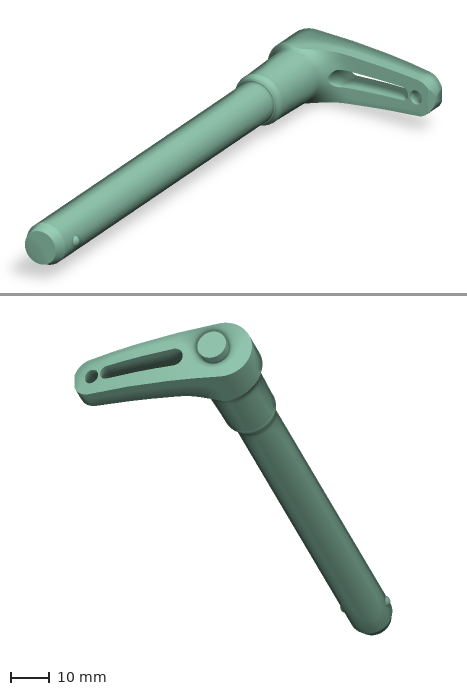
import cadquery as cq
import math


total_length = 148.6
shaft_diameter = 11.5
shaft_radius = shaft_diameter / 2
tip_radius = 4.6
tip_chamfer_length = 3.0
button_radius = 3.9

ball_radius = 1.5
ball_y = 8.3
ball_reach = 6.7

collar_bottom_y = 111.5
collar_lip_y = 112.0
collar_shoulder_y = 114.5
collar_top_y = 130.3
collar_lip_radius = 6.1
collar_shoulder_radius = 7.0
collar_top_radius = 7.5

flare_radius = 6.4
flare_outer_radius = collar_top_radius + flare_radius
flare_top_y = collar_top_y + flare_radius

handle_length = 49.5
head_width = 15.9
head_radius = head_width / 2
head_x = -1.8
head_left_x = head_x - head_radius
tip_round_radius = 5.0
handle_end_x = head_left_x + handle_length
tip_round_x = handle_end_x - tip_round_radius

crown_x = 3.0
crown_y = 145.5
crown_radius = 127.8
end_top_x = 39.4
end_corner_y = 136.1
toe_x = 38.5
toe_y = 134.5
underside_mid_x = 25.9
underside_mid_y = 136.1

slot_start_x = 8.8
slot_end_x = 32.0
slot_start_width = 4.9
slot_start_radius = slot_start_width / 2
slot_end_width = 3.7
slot_end_radius = slot_end_width / 2
eye_x = 34.5
eye_radius = 2.0


def tapered_prism(start_x, start_radius, end_x, end_radius):
    """Two circles joined by their common tangents, extruded along the whole pin."""
    tangent_angle = math.asin((start_radius - end_radius) / (end_x - start_x))
    sine = math.sin(tangent_angle)
    cosine = math.cos(tangent_angle)
    start_tangent_x = start_x + start_radius * sine
    start_tangent_z = start_radius * cosine
    end_tangent_x = end_x + end_radius * sine
    end_tangent_z = end_radius * cosine
    return (
        cq.Workplane("XZ")
        .moveTo(start_tangent_x, start_tangent_z)
        .lineTo(end_tangent_x, end_tangent_z)
        .threePointArc((end_x + end_radius, 0), (end_tangent_x, -end_tangent_z))
        .lineTo(start_tangent_x, -start_tangent_z)
        .threePointArc((start_x - start_radius, 0), (start_tangent_x, start_tangent_z))
        .close()
        .extrude(-total_length)
    )


def revolve_about_pin(profile):
    return profile.close().revolve(360, (0, 0, 0), (0, 1, 0))


def crown_height(x):
    """Y of the arched handle top at a given X."""
    return crown_y - crown_radius + math.sqrt(crown_radius**2 - (x - crown_x) ** 2)


def make_pin():
    shaft = revolve_about_pin(
        cq.Workplane("XY")
        .lineTo(tip_radius, 0)
        .lineTo(shaft_radius, tip_chamfer_length)
        .lineTo(shaft_radius, flare_top_y)
        .lineTo(button_radius, flare_top_y)
        .lineTo(button_radius, total_length)
        .lineTo(0, total_length)
    )
    ball_x = ball_reach - ball_radius
    for side in (-1, 1):
        ball = cq.Workplane("XY").sphere(ball_radius).translate((side * ball_x, ball_y, 0))
        shaft = shaft.union(ball)
    return shaft


def make_collar():
    return revolve_about_pin(
        cq.Workplane("XY")
        .moveTo(0, collar_bottom_y)
        .lineTo(collar_lip_radius, collar_bottom_y)
        .lineTo(collar_lip_radius, collar_lip_y)
        .radiusArc((collar_shoulder_radius, collar_shoulder_y), -(collar_shoulder_y - collar_lip_y))
        .lineTo(collar_top_radius, collar_top_y)
        .lineTo(0, collar_top_y)
    )


def make_handle():
    arm_profile = (
        cq.Workplane("XY")
        .moveTo(head_left_x, flare_top_y)
        .lineTo(head_left_x, crown_height(head_left_x))
        .threePointArc((crown_x, crown_y), (end_top_x, crown_height(end_top_x)))
        .lineTo(handle_end_x, end_corner_y)
        .lineTo(toe_x, toe_y)
        .threePointArc((underside_mid_x, underside_mid_y), (flare_outer_radius, flare_top_y))
        .close()
        .extrude(head_radius, both=True)
    )
    arc_offset = flare_radius * math.sqrt(0.5)
    flare_middle = (flare_outer_radius - arc_offset, collar_top_y + arc_offset)
    flare = revolve_about_pin(
        cq.Workplane("XY")
        .moveTo(0, collar_top_y)
        .lineTo(collar_top_radius, collar_top_y)
        .threePointArc(flare_middle, (flare_outer_radius, flare_top_y))
        .lineTo(0, flare_top_y)
    )
    outline = tapered_prism(head_x, head_radius, tip_round_x, tip_round_radius)
    slot = tapered_prism(
        slot_start_x + slot_start_radius,
        slot_start_radius,
        slot_end_x - slot_end_radius,
        slot_end_radius,
    )
    eye = cq.Workplane("XZ").center(eye_x, 0).circle(eye_radius).extrude(-total_length)
    return arm_profile.union(flare).intersect(outline).cut(slot).cut(eye)


result = make_pin().union(make_collar()).union(make_handle())